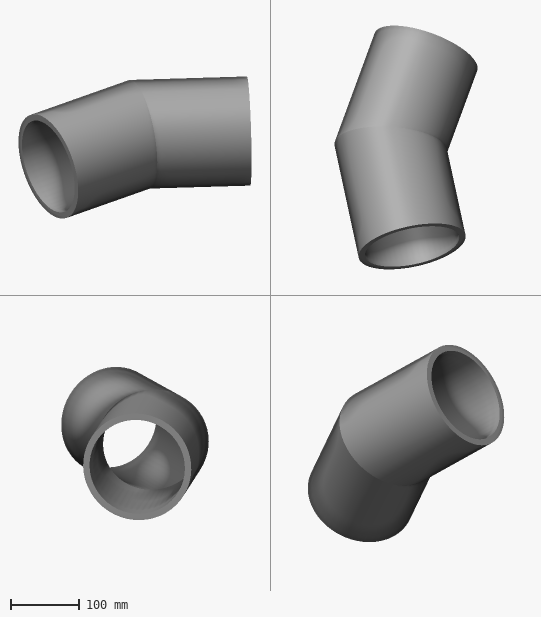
import cadquery as cq
import math

OUTER_DIAMETER = 160.0
WALL_THICKNESS = 9.5
BEND_ANGLE = 30.0
LEG_LENGTH = 159.7

OUTER_RADIUS = OUTER_DIAMETER / 2
INNER_RADIUS = OUTER_RADIUS - WALL_THICKNESS
MITRE_ANGLE = BEND_ANGLE / 2
MITRE_REACH = OUTER_RADIUS * math.tan(math.radians(MITRE_ANGLE))

ORIGIN = cq.Vector(0, 0, 0)
INLET_DIRECTION = cq.Vector(0, 1, 0)
Z_AXIS = cq.Vector(0, 0, 1)


def inlet_leg():
    """Pipe along +Y, open end at the origin, cut off at the mitre plane."""
    blank_length = LEG_LENGTH + MITRE_REACH
    outside = cq.Solid.makeCylinder(OUTER_RADIUS, blank_length, ORIGIN, INLET_DIRECTION)
    bore = cq.Solid.makeCylinder(INNER_RADIUS, blank_length, ORIGIN, INLET_DIRECTION)
    pipe = cq.Workplane(obj=outside.cut(bore))

    block_size = 2 * OUTER_DIAMETER
    waste = (
        cq.Workplane("XY")
        .box(block_size, block_size, block_size, centered=(True, False, True))
        .rotate(ORIGIN, Z_AXIS, -MITRE_ANGLE)
        .translate((0, LEG_LENGTH, 0))
    )
    return pipe.cut(waste)


def outlet_leg(inlet):
    """The inlet leg mirrored across the mitre plane."""
    angle = math.radians(MITRE_ANGLE)
    mitre_normal = cq.Vector(math.sin(angle), math.cos(angle), 0)
    mitre_centre = INLET_DIRECTION * LEG_LENGTH
    return inlet.mirror(mitre_normal, mitre_centre)


inlet = inlet_leg()
result = inlet.union(outlet_leg(inlet))